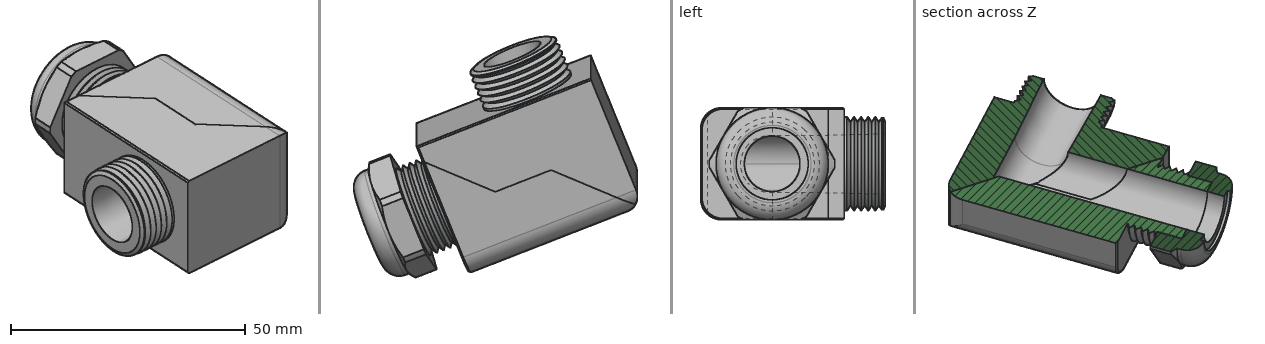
import cadquery as cq


length = 56.9
block_left = 16.95
block_back = 15.25
block_front = -15.35
height = 23.9
back_fillet = 4.6
edge_chamfer = 0.35

part_flat_left = 28.9
part_flat_right = 41.7
reach = 2 * length

pitch = 1.51
crest_radius = 10.0
root_radius = 8.95

inlet_bore_radius = 5.9
inlet_crests = 4
inlet_end = 4.55

outlet_x = 42.45
outlet_end = -24.1
outlet_crests = 4
outlet_collar = 0.55
outlet_mouth_radius = 6.5
outlet_bore_radius = 6.05
last_crest_radius = 9.85
last_crest_inset = 0.75
last_crest_width = 0.3

across_flats = height
corner_radius = 13.35
nut_back = 10.1
hex_front = 4.55
corner_bevel = 0.8
dome_radius = 3.7
lip_radius = across_flats / 2 - dome_radius
recess_radius = 7.7
recess_depth = 0.7


def revolved(profile):
    """Solid of revolution of an (along, radius) profile, turned about the X axis."""
    return cq.Workplane("XY").polyline(profile).close().revolve(360, (0, 0, 0), (1, 0, 0))


def thread_points(start, step, crests):
    """Saw-tooth (along, radius) points that start at a root and end at a root."""
    points = [(start, root_radius)]
    for i in range(crests):
        points.append((start + (i + 0.5) * step, crest_radius))
        points.append((start + (i + 1) * step, root_radius))
    return points


def onto_outlet(solid):
    """Carry a solid from the X axis to the outlet axis, its +X end towards -Y."""
    return solid.rotate((0, 0, 0), (0, 0, 1), -90).translate((outlet_x, 0, 0))


def make_block():
    block = (
        cq.Workplane("XY")
        .box(length - block_left, block_back - block_front, height, centered=(False, False, True))
        .translate((block_left, block_front, 0))
    )
    block = block.edges("(|X and >Y) or (|Z and >X and >Y)").fillet(back_fillet)
    return block.faces("<Y or <X").edges("not |Z").chamfer(edge_chamfer)


def make_inlet_pipe():
    thread = thread_points(block_left, -pitch, inlet_crests)
    profile = [(block_left, 0), *thread]
    profile += [(nut_back, crest_radius), (nut_back, root_radius)]
    profile += [(inlet_end, root_radius), (inlet_end, 0)]
    return revolved(profile)


def make_outlet_pipe():
    collar_end = outlet_collar - block_front
    tip = -outlet_end
    crest_start = tip - last_crest_inset
    profile = [(-block_front, 0), (-block_front, crest_radius), (collar_end, crest_radius)]
    profile += thread_points(collar_end + pitch / 2, pitch, outlet_crests)
    profile += [(crest_start, last_crest_radius), (crest_start + last_crest_width, last_crest_radius)]
    profile += [(tip, root_radius), (tip, 0)]
    return onto_outlet(revolved(profile))


def prism(outline):
    return cq.Workplane("XY").polyline(outline).close().extrude(reach, both=True)


def make_bore():
    """Straight inlet bore and tapered outlet bore, mitred at 45 degrees."""
    mitre_top = (part_flat_right + reach, reach)
    mitre_bottom = (part_flat_right - reach, -reach)
    beyond_inlet = prism([(part_flat_right, -reach), (part_flat_right, 0), mitre_top])
    outlet_side = prism([mitre_bottom, mitre_top, (part_flat_right + reach, -reach)])
    inlet = cq.Workplane("YZ").circle(inlet_bore_radius).extrude(length).cut(beyond_inlet)
    tip = -outlet_end
    blind_end = -block_back / 2
    outlet = onto_outlet(revolved([
        (blind_end, 0),
        (blind_end, outlet_bore_radius),
        (inlet_bore_radius, outlet_bore_radius),
        (tip, outlet_mouth_radius),
        (tip, 0),
    ])).intersect(outlet_side)
    return inlet.union(outlet)


def make_housing_halves():
    housing = make_block().union(make_inlet_pipe()).union(make_outlet_pipe()).cut(make_bore())
    front_region = prism([
        (part_flat_left, 0),
        (part_flat_right, 0),
        (part_flat_right + reach, reach),
        (part_flat_right + reach, -reach),
        (part_flat_left - reach, -reach),
    ])
    return housing.cut(front_region), housing.intersect(front_region)


def make_nut():
    half_flats = across_flats / 2
    arc_offset = dome_radius * 0.5 ** 0.5
    envelope = (
        cq.Workplane("XY")
        .moveTo(0, 0)
        .lineTo(0, lip_radius)
        .threePointArc((dome_radius - arc_offset, lip_radius + arc_offset), (dome_radius, half_flats))
        .lineTo(hex_front, half_flats)
        .lineTo(hex_front + corner_bevel, corner_radius)
        .lineTo(nut_back, corner_radius)
        .lineTo(nut_back, 0)
        .close()
        .revolve(360, (0, 0, 0), (1, 0, 0))
    )
    hexagon = cq.Workplane("YZ").polygon(6, across_flats, circumscribed=True).extrude(nut_back)
    hexagon = hexagon.rotate((0, 0, 0), (1, 0, 0), 30)
    nut = envelope.intersect(hexagon)
    opening = revolved([
        (0, 0),
        (0, recess_radius),
        (recess_depth, recess_radius),
        (recess_depth, inlet_bore_radius),
        (inlet_end, inlet_bore_radius),
        (inlet_end, root_radius),
        (nut_back, root_radius),
        (nut_back, 0),
    ])
    return nut.cut(opening)


inlet_half, outlet_half = make_housing_halves()
nut = make_nut()

result = cq.Compound.makeCompound([
    inlet_half.solids().val(),
    outlet_half.solids().val(),
    nut.solids().val(),
])